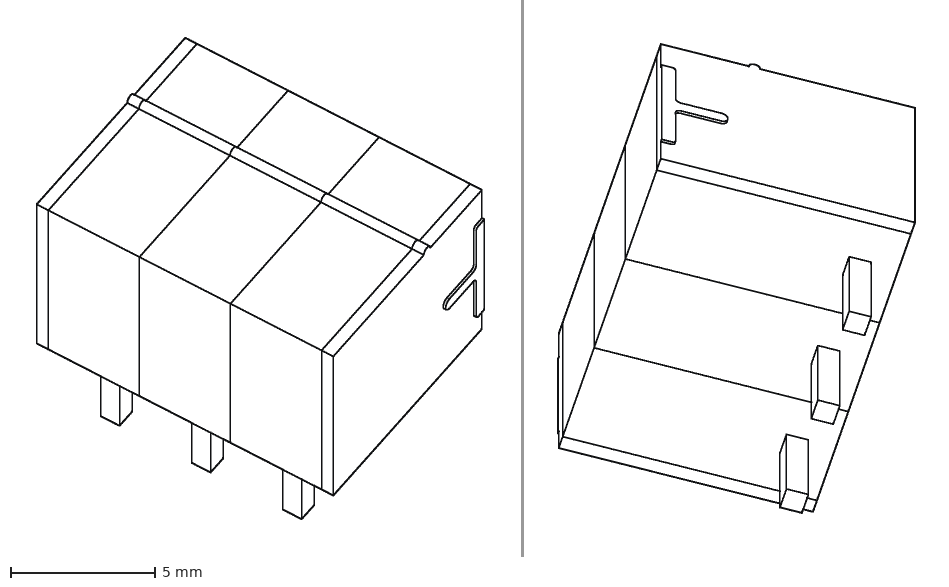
import cadquery as cq


pole_count = 3
pole_pitch = 3.81
plate_thickness = 0.49
body_depth = 9.2
body_height = 7.4
row_length = pole_count * pole_pitch

rib_radius = 0.2
rib_y = 5.8

pin_side = 0.8
pin_length = 3.52
pin_front_gap = 1.0
pin_y = pin_front_gap + pin_side / 2

tee_relief = 0.1
tee_height = 4.8
tee_top_gap = 1.5
tee_length = 2.4
tee_band = 0.5
tee_outer_radius = 0.13
tee_inner_radius = 0.2
tee_center_z = body_height - tee_top_gap - tee_height / 2


def ribbed_block(x_start, width):
    """Full-height block with its stretch of the half-round top rib."""
    block = cq.Workplane("XY").box(width, body_depth, body_height, centered=False)
    rib = (
        cq.Workplane("YZ")
        .moveTo(rib_y - rib_radius, body_height)
        .threePointArc((rib_y, body_height + rib_radius), (rib_y + rib_radius, body_height))
        .close()
        .extrude(width)
    )
    return block.union(rib).translate((x_start, 0, 0))


def make_pole(x_start):
    """Pole module with its pin, centred on the width of the module."""
    pin = (
        cq.Workplane("XY")
        .center(x_start + pole_pitch / 2, pin_y)
        .rect(pin_side, pin_side)
        .extrude(-pin_length)
    )
    return ribbed_block(x_start, pole_pitch).union(pin)


def tee_relief_pad():
    """Raised T standing on the plane X = 0 and rising toward +X."""
    upright_front_y = body_depth - tee_band
    stem_front_y = body_depth - tee_length
    upright = (
        cq.Workplane("YZ")
        .center(body_depth - tee_band / 2, tee_center_z)
        .rect(tee_band, tee_height)
        .extrude(tee_relief)
        .edges("|X and <Y")
        .fillet(tee_outer_radius)
    )
    stem = (
        cq.Workplane("YZ")
        .moveTo(upright_front_y, tee_center_z + tee_band / 2)
        .lineTo(stem_front_y + tee_band / 2, tee_center_z + tee_band / 2)
        .threePointArc(
            (stem_front_y, tee_center_z),
            (stem_front_y + tee_band / 2, tee_center_z - tee_band / 2),
        )
        .lineTo(upright_front_y, tee_center_z - tee_band / 2)
        .close()
        .extrude(tee_relief)
    )
    inner_corners = cq.selectors.BoxSelector(
        (0, upright_front_y - tee_band / 4, tee_center_z - tee_band),
        (tee_relief, upright_front_y + tee_band / 4, tee_center_z + tee_band),
    )
    return upright.union(stem).edges("|X").edges(inner_corners).fillet(tee_inner_radius)


def make_end_plate(side):
    """End plate with its raised T; side is -1 for the left end and +1 for the right."""
    plate = ribbed_block(row_length / 2, plate_thickness)
    tee = tee_relief_pad().translate((row_length / 2 + plate_thickness, 0, 0))
    right_plate = plate.union(tee)
    return right_plate if side > 0 else right_plate.mirror("YZ")


poles = [make_pole(index * pole_pitch - row_length / 2) for index in range(pole_count)]
end_plates = [make_end_plate(side) for side in (-1, 1)]

result = cq.Compound.makeCompound([body.solids().val() for body in poles + end_plates])